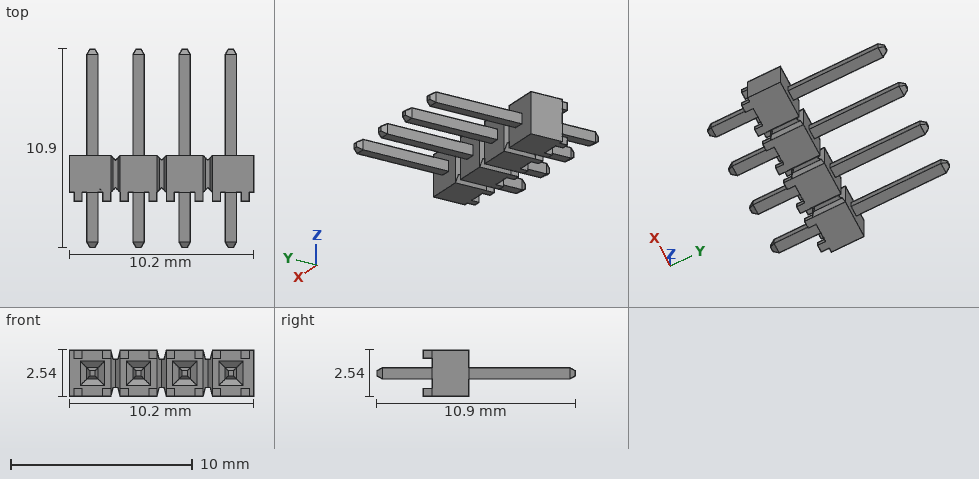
import cadquery as cq

pin_count = 4
row_length = 10.16
pitch = row_length / pin_count

body_depth = 2.03
body_height = 2.54
gap_width = 0.51
gap_floor_width = 0.26
bridge_height = 1.57
groove_depth = gap_width / 2

foot_size = 0.45
foot_length = 0.49
foot_spread = pitch - gap_width - foot_size

lead_in_width = 1.33
lead_in_depth = 0.25

pin_width = 0.63
pin_length = 10.92
pin_front = -3.04
tip_length = 0.31
tip_width = 0.28


def square_taper(x, y_start, length, start_width, end_width):
    """Square frustum growing toward +Y from y_start."""
    return (
        cq.Workplane("XZ", origin=(x, y_start, 0))
        .rect(start_width, start_width)
        .workplane(offset=-length)
        .rect(end_width, end_width)
        .loft(ruled=True)
    )


def gap_cutter(x):
    """Material removed between two blocks, leaving the waisted bridge."""
    half_gap = gap_width / 2
    half_floor = gap_floor_width / 2
    top = body_height / 2
    floor = bridge_height / 2
    upper_notch = (
        cq.Workplane("XZ", origin=(x, 0, 0))
        .polyline([(-half_gap, top), (-half_floor, floor), (half_floor, floor), (half_gap, top)])
        .close()
        .extrude(-body_depth)
    )
    front_groove = (
        cq.Workplane("XY", origin=(x, 0, -top))
        .polyline([(-half_gap, 0), (0, groove_depth), (half_gap, 0)])
        .close()
        .extrude(body_height)
    )
    back_groove = front_groove.mirror("XZ", (0, body_depth / 2, 0))
    lower_notch = upper_notch.mirror("XY")
    return upper_notch.union(lower_notch).union(front_groove).union(back_groove)


def feet(x):
    """Four stand-off feet in front of one block."""
    return (
        cq.Workplane("XZ", origin=(x, 0, 0))
        .rarray(foot_spread, body_height - foot_size, 2, 2)
        .rect(foot_size, foot_size)
        .extrude(foot_length)
    )


def pin(x):
    """Square pin with a tapered tip at each end."""
    shank_start = pin_front + tip_length
    shank_length = pin_length - 2 * tip_length
    shank = square_taper(x, shank_start, shank_length, pin_width, pin_width)
    front_tip = square_taper(x, pin_front, tip_length, tip_width, pin_width)
    back_tip = square_taper(x, shank_start + shank_length, tip_length, pin_width, tip_width)
    return shank.union(front_tip).union(back_tip)


pin_positions = [(i - (pin_count - 1) / 2) * pitch for i in range(pin_count)]

result = cq.Workplane("XY").box(row_length, body_depth, body_height).translate((0, body_depth / 2, 0))

for x in pin_positions[:-1]:
    result = result.cut(gap_cutter(x + pitch / 2))

for x in pin_positions:
    result = result.cut(square_taper(x, 0, lead_in_depth, lead_in_width, pin_width))
    result = result.union(feet(x)).union(pin(x))

result = result.translate((0, -(pin_front + pin_length / 2), 0))